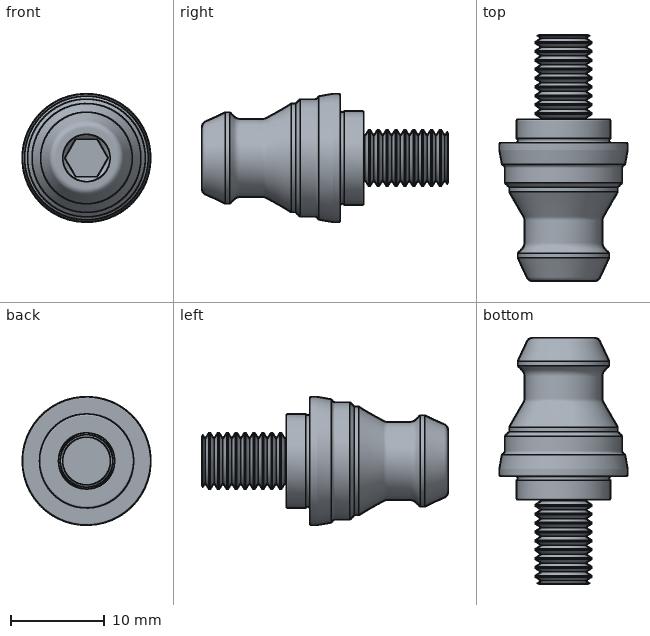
import cadquery as cq
import math

TOTAL_LENGTH = 26.3

NOSE_RADIUS = 4.9
NOSE_RIM_START = 2.5
NOSE_RIM_END = 3.0
NOSE_CONE_ANGLE = 25.0
NOSE_ROUNDING = 0.74

NECK_RADIUS = 4.18
NECK_FRONT_ANGLE = 45.0
NECK_FRONT_BLEND = 0.92
NECK_REAR_ANGLE = 30.0
NECK_REAR_BLEND = 0.8

SHOULDER_RADIUS = 5.8
SHOULDER_START = 9.55
SHOULDER_END = 10.02
BODY_RADIUS = 6.29
BODY_END = 12.1
BODY_BLEND = 0.3
BODY_BLEND_ANGLE = 50.0

FLANGE_RADIUS = 6.86
FLANGE_FRONT = 12.5
FLANGE_TAPER_END = 14.0
FLANGE_REAR = 14.78
FLANGE_TAPER_ANGLE = 10.0
FLANGE_ROUNDING = 0.18

COLLAR_RADIUS = 5.02
COLLAR_START = 15.23
COLLAR_END = 17.3
COLLAR_ROUNDING = 0.2
UNDERCUT_DEPTH = 0.13

THREAD_RADIUS = 3.0
THREAD_ROOT_RADIUS = 2.4
THREAD_START = 17.4
THREAD_PITCH = 0.95
THREAD_CREST = 0.15
THREAD_RINGS = 9
END_CHAMFER_START = 26.2
END_FACE_RADIUS = 2.55

SOCKET_FLATS = 4.0
SOCKET_DEPTH = 5.0
COUNTERSINK_RADIUS = 2.52
COUNTERSINK_ANGLE = 45.0


def turned(half_section):
    """Close a half section of (radius, y) points and revolve it about the Y axis."""
    return half_section.close().revolve(360, (0, 0, 0), (0, 1, 0))


def blend(radius, cone_angle):
    """Axial and radial extent of an arc from a cylinder to a cone, and its midpoint offsets."""
    full = math.radians(cone_angle)
    half = full / 2
    end = (radius * (1 - math.cos(full)), radius * math.sin(full))
    middle = (radius * (1 - math.cos(half)), radius * math.sin(half))
    return end, middle


def body_profile():
    """Half section from the nose face to the collar, as (radius, y) points."""
    nose_slope = math.tan(math.radians(NOSE_CONE_ANGLE))
    nose_angle = math.radians(NOSE_CONE_ANGLE)
    round_y = NOSE_ROUNDING * (1 - math.sin(nose_angle))
    round_r = NOSE_RADIUS - (NOSE_RIM_START - round_y) * nose_slope
    face_r = round_r - NOSE_ROUNDING * math.cos(nose_angle)
    middle_angle = (math.pi / 2 + nose_angle) / 2
    round_mid = (
        face_r + NOSE_ROUNDING * math.cos(middle_angle),
        NOSE_ROUNDING * (1 - math.sin(middle_angle)),
    )

    front_end, front_mid = blend(NECK_FRONT_BLEND, NECK_FRONT_ANGLE)
    front_rise = NOSE_RADIUS - NECK_RADIUS - front_end[0]
    neck_start = NOSE_RIM_END + front_rise / math.tan(math.radians(NECK_FRONT_ANGLE)) + front_end[1]

    rear_end, rear_mid = blend(NECK_REAR_BLEND, NECK_REAR_ANGLE)
    rear_rise = SHOULDER_RADIUS - NECK_RADIUS - rear_end[0]
    neck_end = SHOULDER_START - rear_rise / math.tan(math.radians(NECK_REAR_ANGLE)) - rear_end[1]

    body_start = SHOULDER_END + BODY_RADIUS - SHOULDER_RADIUS
    body_end, body_mid = blend(BODY_BLEND, BODY_BLEND_ANGLE)
    taper = (FLANGE_TAPER_END - FLANGE_FRONT) * math.tan(math.radians(FLANGE_TAPER_ANGLE))
    undercut_bottom = (COLLAR_RADIUS - UNDERCUT_DEPTH, (FLANGE_REAR + COLLAR_START) / 2)

    def off_neck(y, offset, direction):
        return (NECK_RADIUS + offset[0], y + direction * offset[1])

    return (
        cq.Workplane("XY")
        .moveTo(0, 0)
        .lineTo(face_r, 0)
        .threePointArc(round_mid, (round_r, round_y))
        .lineTo(NOSE_RADIUS, NOSE_RIM_START)
        .lineTo(NOSE_RADIUS, NOSE_RIM_END)
        .lineTo(*off_neck(neck_start, front_end, -1))
        .threePointArc(off_neck(neck_start, front_mid, -1), (NECK_RADIUS, neck_start))
        .lineTo(NECK_RADIUS, neck_end)
        .threePointArc(off_neck(neck_end, rear_mid, 1), off_neck(neck_end, rear_end, 1))
        .lineTo(SHOULDER_RADIUS, SHOULDER_START)
        .lineTo(SHOULDER_RADIUS, SHOULDER_END)
        .lineTo(BODY_RADIUS, body_start)
        .lineTo(BODY_RADIUS, BODY_END)
        .threePointArc(
            (BODY_RADIUS + body_mid[0], BODY_END + body_mid[1]),
            (BODY_RADIUS + body_end[0], BODY_END + body_end[1]),
        )
        .lineTo(FLANGE_RADIUS - taper, FLANGE_FRONT)
        .lineTo(FLANGE_RADIUS, FLANGE_TAPER_END)
        .lineTo(FLANGE_RADIUS, FLANGE_REAR - FLANGE_ROUNDING)
        .radiusArc((FLANGE_RADIUS - FLANGE_ROUNDING, FLANGE_REAR), -FLANGE_ROUNDING)
        .lineTo(COLLAR_RADIUS, FLANGE_REAR)
        .threePointArc(undercut_bottom, (COLLAR_RADIUS, COLLAR_START))
        .lineTo(COLLAR_RADIUS, COLLAR_END - COLLAR_ROUNDING)
        .radiusArc((COLLAR_RADIUS - COLLAR_ROUNDING, COLLAR_END), -COLLAR_ROUNDING)
        .lineTo(0, COLLAR_END)
    )


def thread():
    """Ringed rod that ends part-way up the flank after the last ring, with a chamfer."""
    flank = (THREAD_PITCH - THREAD_CREST) / 2
    flank_slope = (THREAD_RADIUS - THREAD_ROOT_RADIUS) / flank
    points = [(0, COLLAR_END), (THREAD_ROOT_RADIUS, COLLAR_END)]
    for ring in range(THREAD_RINGS):
        ring_start = THREAD_START + ring * THREAD_PITCH
        points += [
            (THREAD_ROOT_RADIUS, ring_start),
            (THREAD_RADIUS, ring_start + flank),
            (THREAD_RADIUS, ring_start + flank + THREAD_CREST),
        ]
    last_root = THREAD_START + THREAD_RINGS * THREAD_PITCH
    end_radius = THREAD_ROOT_RADIUS + (END_CHAMFER_START - last_root) * flank_slope
    points += [
        (THREAD_ROOT_RADIUS, last_root),
        (end_radius, END_CHAMFER_START),
        (END_FACE_RADIUS, TOTAL_LENGTH),
        (0, TOTAL_LENGTH),
    ]
    return turned(cq.Workplane("XY").polyline(points))


def socket():
    corner_diameter = SOCKET_FLATS / math.cos(math.radians(30))
    hexagon = cq.Workplane("XZ").polygon(6, corner_diameter).extrude(-SOCKET_DEPTH)
    depth = COUNTERSINK_RADIUS / math.tan(math.radians(COUNTERSINK_ANGLE))
    countersink = turned(cq.Workplane("XY").polyline([(0, 0), (COUNTERSINK_RADIUS, 0), (0, depth)]))
    return hexagon.union(countersink)


result = turned(body_profile()).union(thread()).cut(socket())